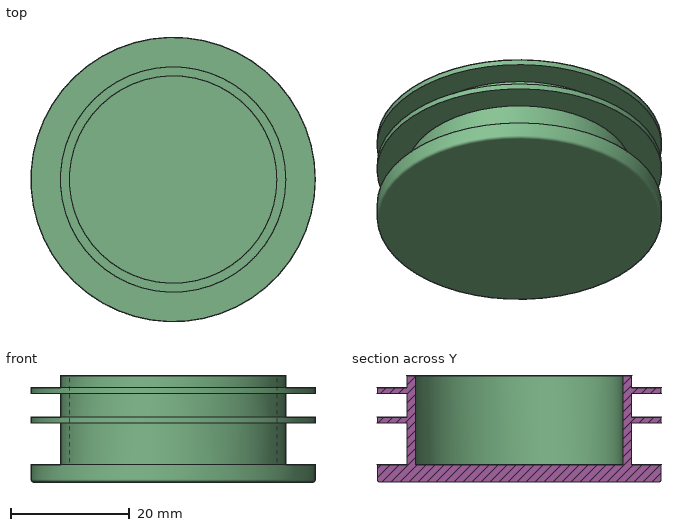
import cadquery as cq

outer_diameter = 48.0
sleeve_diameter = 38.0
bore_diameter = 35.0
total_height = 18.0
base_thickness = 3.0
base_edge_radius = 0.5
fin_thickness = 1.0
lower_fin_bottom = 10.0
upper_fin_bottom = 15.0


def disc(diameter, bottom, height):
    """Solid disc centred on the Z axis."""
    return cq.Workplane("XY").workplane(offset=bottom).circle(diameter / 2).extrude(height)


base = disc(outer_diameter, 0, base_thickness).faces("<Z").edges().fillet(base_edge_radius)

plug = base.union(disc(sleeve_diameter, 0, total_height))

for fin_bottom in (lower_fin_bottom, upper_fin_bottom):
    plug = plug.union(disc(outer_diameter, fin_bottom, fin_thickness))

bore_depth = total_height - base_thickness
result = plug.cut(disc(bore_diameter, base_thickness, bore_depth))